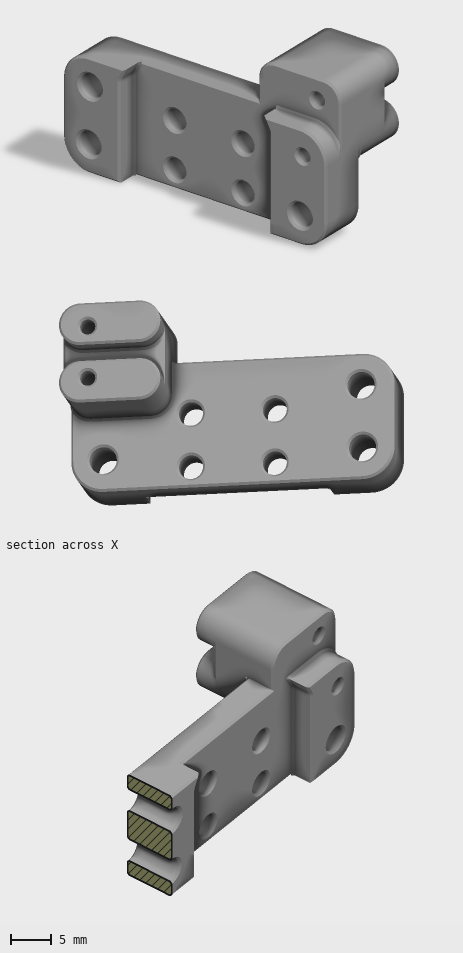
import cadquery as cq
import math

PLATE_LENGTH = 40.5
PLATE_HEIGHT = 16.0
PLATE_BACK = 7.0
PLATE_CORNER_RADIUS = 4.0
RECESS_DEPTH = 3.0

PAD_WIDTH = 8.75
PAD_SLANT_START = 14.2
PAD_SLANT_ANGLE = math.radians(28)
PAD_SLANT_RADIUS = 1.0

OVERALL_HEIGHT = 21.9
OVERALL_DEPTH = 15.3
BLOCK_LENGTH = 12.7
BLOCK_HEIGHT = 12.65
LOBE_RADIUS = 2.65
WEB_BACK = 12.3
BLOCK_LEFT = PLATE_LENGTH - BLOCK_LENGTH
BLOCK_CENTRE_X = PLATE_LENGTH - BLOCK_LENGTH / 2
BLOCK_BOTTOM = OVERALL_HEIGHT - BLOCK_HEIGHT
LOWER_LOBE_Z = BLOCK_BOTTOM + LOBE_RADIUS
UPPER_LOBE_Z = OVERALL_HEIGHT - LOBE_RADIUS

BEVEL = 0.3
SKIRT_TAPER = -45

MOUNT_HOLE_DIAMETER = 3.4
MOUNT_HOLES = [(4.0, 4.0), (PLATE_LENGTH - 4.0, 4.0), (4.2, 12.0)]
PLATE_HOLE_DIAMETER = 3.0
PLATE_HOLES = [(x, z) for x in (15.0, 25.5) for z in (2.6, 9.4)]
CLAMP_HOLE_DIAMETER = 1.9
CLAMP_HOLES = [(36.9, z) for z in (12.3, 18.85)]


def plane_at(y):
    """XZ workplane at depth y; its normal points toward -Y."""
    return cq.Workplane("XZ", origin=(0, y, 0))


def prism(outline, front, back):
    """Extrude an outline, given as a function of depth, from front to back."""
    return outline(front).extrude(front - back)


def skirt(outline, front, toward_back):
    """45 degree skirt that widens the outline by BEVEL toward +Y or -Y."""
    distance = -BEVEL if toward_back else BEVEL
    return outline(front).extrude(distance, taper=SKIRT_TAPER)


def rounded_rectangle(y, left, bottom, length, height, radius):
    outline = cq.Sketch().rect(length, height).vertices().fillet(radius)
    centre = cq.Location(cq.Vector(left + length / 2, bottom + height / 2, 0))
    return plane_at(y).placeSketch(outline.moved(centre))


def plate_outline(y):
    return rounded_rectangle(y, 0, 0, PLATE_LENGTH, PLATE_HEIGHT, PLATE_CORNER_RADIUS)


def block_outline(y):
    return rounded_rectangle(y, BLOCK_LEFT, BLOCK_BOTTOM, BLOCK_LENGTH, BLOCK_HEIGHT, LOBE_RADIUS)


def lobe_outline(y, centre_z):
    return plane_at(y).center(BLOCK_CENTRE_X, centre_z).slot2D(BLOCK_LENGTH, 2 * LOBE_RADIUS)


def pad_outline(y, outer_x, inward):
    """End pad with two rounded outer corners and an inner wall that bends into a slant near the top."""
    radius = PLATE_CORNER_RADIUS

    def x(offset):
        return outer_x + inward * offset

    corner_mid = radius * (1 - math.sqrt(0.5))
    half_angle = PAD_SLANT_ANGLE / 2
    bend_length = PAD_SLANT_RADIUS * math.tan(half_angle)
    bend_start_z = PAD_SLANT_START - bend_length
    bend_mid_width = PAD_WIDTH + PAD_SLANT_RADIUS * (1 - math.cos(half_angle))
    bend_mid_z = bend_start_z + PAD_SLANT_RADIUS * math.sin(half_angle)
    bend_end_width = PAD_WIDTH + bend_length * math.sin(PAD_SLANT_ANGLE)
    bend_end_z = PAD_SLANT_START + bend_length * math.cos(PAD_SLANT_ANGLE)
    top_width = PAD_WIDTH + (PLATE_HEIGHT - PAD_SLANT_START) * math.tan(PAD_SLANT_ANGLE)
    return (
        plane_at(y)
        .moveTo(x(radius), 0)
        .lineTo(x(PAD_WIDTH), 0)
        .lineTo(x(PAD_WIDTH), bend_start_z)
        .threePointArc((x(bend_mid_width), bend_mid_z), (x(bend_end_width), bend_end_z))
        .lineTo(x(top_width), PLATE_HEIGHT)
        .lineTo(x(radius), PLATE_HEIGHT)
        .threePointArc((x(corner_mid), PLATE_HEIGHT - corner_mid), (x(0), PLATE_HEIGHT - radius))
        .lineTo(x(0), radius)
        .threePointArc((x(corner_mid), corner_mid), (x(radius), 0))
        .close()
    )


def make_plate():
    return prism(plate_outline, RECESS_DEPTH, PLATE_BACK).faces(">Y").chamfer(BEVEL)


def block_core(front, back, length, height):
    centre_z = (LOWER_LOBE_Z + UPPER_LOBE_Z) / 2
    return plane_at(front).center(BLOCK_CENTRE_X, centre_z).rect(length, height).extrude(front - back)


def make_block():
    """Two full-depth lobes joined by a shorter web, with a bevel along each lobe root."""
    lobe_spacing = UPPER_LOBE_Z - LOWER_LOBE_Z
    block = block_core(RECESS_DEPTH, WEB_BACK, BLOCK_LENGTH, lobe_spacing)
    block = block.faces(">Y").edges("|Z").chamfer(BEVEL)
    notch_room = block_core(WEB_BACK - BEVEL, OVERALL_DEPTH, BLOCK_LENGTH - 2 * BEVEL, lobe_spacing)
    for centre_z in (LOWER_LOBE_Z, UPPER_LOBE_Z):

        def outline(y):
            return lobe_outline(y, centre_z)

        lobe = prism(outline, RECESS_DEPTH, OVERALL_DEPTH).faces(">Y").chamfer(BEVEL)
        lobe_skirt = skirt(outline, WEB_BACK + BEVEL, toward_back=False)
        block = block.union(lobe).union(lobe_skirt.intersect(notch_room))
    return block


def make_body():
    """Plate and block joined, with a bevelled front rim and a skirt where the block leaves the plate."""
    block_skirt = skirt(block_outline, PLATE_BACK + BEVEL, toward_back=False)
    skirt_limit = prism(plate_outline, PLATE_BACK - BEVEL, PLATE_BACK + BEVEL)
    body = make_plate().union(make_block()).faces("<Y").chamfer(BEVEL)
    return body.union(block_skirt.intersect(skirt_limit))


def make_pad(outer_x, inward):
    def outline(y):
        return pad_outline(y, outer_x, inward)

    pad = prism(outline, 0, PLATE_BACK - BEVEL).faces("<Y").chamfer(BEVEL)
    pad_skirt = skirt(outline, RECESS_DEPTH - BEVEL, toward_back=True)
    skirt_limit = prism(plate_outline, 0, PLATE_BACK).union(prism(block_outline, 0, PLATE_BACK))
    return pad.union(pad_skirt.intersect(skirt_limit))


def bevelled_hole(diameter, x, z, front, back):
    """Cutter for a through hole with a countersunk rim at both ends."""
    radius = diameter / 2
    rim = radius + BEVEL
    profile = [
        (0, front),
        (rim, front),
        (radius, front + BEVEL),
        (radius, back - BEVEL),
        (rim, back),
        (0, back),
    ]
    cutter = cq.Workplane("XY").polyline(profile).close().revolve(360, (0, 0), (0, 1))
    return cutter.translate((x, 0, z))


def cut_holes(body):
    for x, z in MOUNT_HOLES:
        body = body.cut(bevelled_hole(MOUNT_HOLE_DIAMETER, x, z, 0, PLATE_BACK))
    for x, z in PLATE_HOLES:
        body = body.cut(bevelled_hole(PLATE_HOLE_DIAMETER, x, z, RECESS_DEPTH, PLATE_BACK))
    for (x, z), front in zip(CLAMP_HOLES, (0, RECESS_DEPTH)):
        body = body.cut(bevelled_hole(CLAMP_HOLE_DIAMETER, x, z, front, OVERALL_DEPTH))
    return body


body = make_body()
for outer_x, inward in ((0, 1), (PLATE_LENGTH, -1)):
    body = body.union(make_pad(outer_x, inward))

result = cut_holes(body)